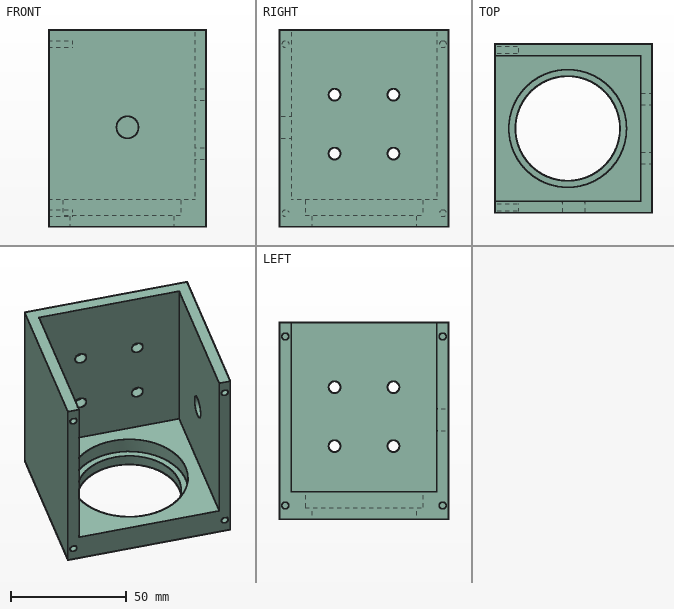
import cadquery as cq

length_x = 67.9
width_y = 72.9
height = 85.0
wall = 5.0
floor = 12.0

bore_diameter = 45.05
seat_diameter = 50.8
seat_depth = 7.0

side_hole_diameter = 9.5
side_hole_height = 43.0

back_hole_diameter = 5.0
back_hole_spacing = 25.4
back_hole_height = 44.4

screw_diameter = 3.0
screw_depth = 10.2
screw_end_offset = 6.0

front_x = -length_x / 2
side_y = -width_y / 2
cavity_length = length_x - wall
cavity_width = width_y - 2 * wall
cavity_center_x = front_x + cavity_length / 2
back_wall_x = front_x + cavity_length


def cylinder_x(diameter, start_x, y, z, depth):
    """Cylinder running in +X from start_x."""
    return cq.Workplane("YZ", origin=(start_x, y, z)).circle(diameter / 2).extrude(depth)


def cylinder_z(diameter, start_z, depth):
    """Upright cylinder on the axis of the cavity."""
    return cq.Workplane("XY", origin=(cavity_center_x, 0, start_z)).circle(diameter / 2).extrude(depth)


result = cq.Workplane("XY").box(length_x, width_y, height, centered=(True, True, False))
cavity = (
    cq.Workplane("XY", origin=(cavity_center_x, 0, floor))
    .box(cavity_length, cavity_width, height - floor, centered=(True, True, False))
)
result = result.cut(cavity)

result = result.cut(cylinder_z(bore_diameter, 0, floor))
result = result.cut(cylinder_z(seat_diameter, floor - seat_depth, seat_depth))

side_hole = (
    cq.Workplane("XZ", origin=(0, side_y, side_hole_height))
    .circle(side_hole_diameter / 2)
    .extrude(-wall)
)
result = result.cut(side_hole)

screw_y = width_y / 2 - wall / 2
for side in (-1, 1):
    for end in (-1, 1):
        back_y = side * back_hole_spacing / 2
        back_z = back_hole_height + end * back_hole_spacing / 2
        result = result.cut(cylinder_x(back_hole_diameter, back_wall_x, back_y, back_z, wall))

    for screw_z in (screw_end_offset, height - screw_end_offset):
        result = result.cut(cylinder_x(screw_diameter, front_x, side * screw_y, screw_z, screw_depth))